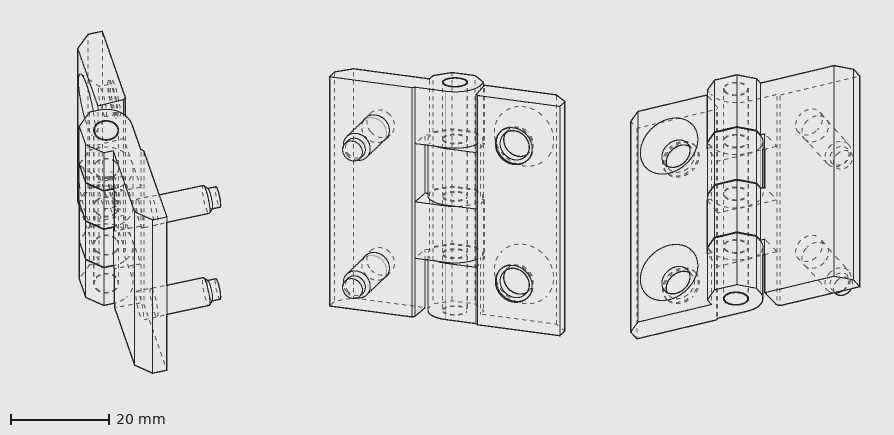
import cadquery as cq


leaf_height = 50.0
leaf_half_span = 25.0
leaf_thickness = 6.0
outer_chamfer = 3.0
axial_play = 0.2
right_leaf_bottom = 0.0
left_leaf_bottom = right_leaf_bottom + axial_play

knuckle_radius = 5.5
knuckle_front = 5.0
knuckle_chamfer = 3.0
knuckle_pitch = leaf_height / 4
knuckle_length = knuckle_pitch - axial_play

inner_edge_front = 6.45
inner_edge_back = 6.65
back_step = leaf_thickness - knuckle_radius
step_start = inner_edge_back + back_step

pin_diameter = 5.0
pin_bore_diameter = 5.1
pin_end_chamfer = 0.1

fixing_x = 15.0
fixing_spacing = 30.0
fixing_heights = [(leaf_height - fixing_spacing) / 2, (leaf_height + fixing_spacing) / 2]
screw_hole_diameter = 6.3
countersink_diameter = 12.9
countersink_angle = 90.0
back_recess_diameter = 8.0
back_recess_depth = 0.5

root_diameter = 6.0
root_taper_end = 7.5
shank_diameter = 5.85
shank_end = 17.0
tip_diameter = 4.3
tip_end = 19.5
tip_taper_end = shank_end + (shank_diameter - tip_diameter) / 2
stud_embedment = 3.0
stud_root = leaf_thickness - stud_embedment


def make_plate():
    """Flat part of the right leaf, standing on Z = 0."""
    return (
        cq.Workplane("XY")
        .moveTo(inner_edge_front, 0)
        .lineTo(leaf_half_span - outer_chamfer, 0)
        .lineTo(leaf_half_span, outer_chamfer)
        .lineTo(leaf_half_span, leaf_thickness)
        .lineTo(step_start, leaf_thickness)
        .lineTo(inner_edge_back, knuckle_radius)
        .close()
        .extrude(leaf_height)
    )


def make_knuckle(bottom):
    """One knuckle of the right leaf, with the web that joins it to the plate."""
    flat_half_width = knuckle_radius - knuckle_chamfer
    chamfer_top = knuckle_chamfer - knuckle_front
    return (
        cq.Workplane("XY", origin=(0, 0, bottom))
        .moveTo(inner_edge_back, knuckle_radius)
        .lineTo(0, knuckle_radius)
        .radiusArc((-knuckle_radius, 0), -knuckle_radius)
        .lineTo(-knuckle_radius, chamfer_top)
        .lineTo(-flat_half_width, -knuckle_front)
        .lineTo(flat_half_width, -knuckle_front)
        .lineTo(knuckle_radius, chamfer_top)
        .lineTo(knuckle_radius, 0)
        .lineTo(inner_edge_front, 0)
        .close()
        .extrude(knuckle_length)
    )


def make_leaf():
    """Right leaf without fixings: its knuckles fill the first and third quarters from the top."""
    leaf = make_plate()
    for quarter in (1, 3):
        top = leaf_height - (quarter - 1) * knuckle_pitch
        leaf = leaf.union(make_knuckle(top - knuckle_length))
    bore = cq.Workplane("XY").circle(pin_bore_diameter / 2).extrude(leaf_height)
    return leaf.cut(bore)


def make_right_leaf():
    """Leaf with a blind socket in its back face for each stud."""
    leaf = make_leaf()
    for height in fixing_heights:
        socket = (
            cq.Workplane("XZ", origin=(fixing_x, stud_root, height))
            .circle(root_diameter / 2)
            .extrude(-stud_embedment)
        )
        leaf = leaf.cut(socket)
    return leaf.translate((0, 0, right_leaf_bottom))


def make_left_leaf():
    """The same leaf turned half round about Y, its holes countersunk in front, recessed behind."""
    leaf = make_leaf().rotate((0, 0, leaf_height / 2), (0, 1, leaf_height / 2), 180)
    leaf = (
        cq.Workplane("XZ")
        .add(leaf)
        .pushPoints([(-fixing_x, height) for height in fixing_heights])
        .cskHole(screw_hole_diameter, countersink_diameter, countersink_angle)
    )
    for height in fixing_heights:
        back_recess = (
            cq.Workplane("XZ", origin=(-fixing_x, leaf_thickness, height))
            .circle(back_recess_diameter / 2)
            .extrude(back_recess_depth)
        )
        leaf = leaf.cut(back_recess)
    return leaf.translate((0, 0, left_leaf_bottom))


def make_pin():
    """Pin with lightly chamfered ends, flush with the outer ends of the end knuckles."""
    pin_length = right_leaf_bottom + leaf_height - left_leaf_bottom
    return (
        cq.Workplane("XY", origin=(0, 0, left_leaf_bottom))
        .circle(pin_diameter / 2)
        .extrude(pin_length)
        .faces("<Z or >Z")
        .chamfer(pin_end_chamfer)
    )


def make_stud(height):
    """Stud turned about Y: embedded root, slight root taper, shank, tip taper and tip."""
    return (
        cq.Workplane("XY")
        .moveTo(0, stud_root)
        .lineTo(root_diameter / 2, stud_root)
        .lineTo(root_diameter / 2, leaf_thickness)
        .lineTo(shank_diameter / 2, root_taper_end)
        .lineTo(shank_diameter / 2, shank_end)
        .lineTo(tip_diameter / 2, tip_taper_end)
        .lineTo(tip_diameter / 2, tip_end)
        .lineTo(0, tip_end)
        .close()
        .revolve(360, (0, 0, 0), (0, 1, 0))
        .translate((fixing_x, 0, right_leaf_bottom + height))
    )


right_leaf = make_right_leaf()
left_leaf = make_left_leaf()
pin = make_pin()
studs = [make_stud(height) for height in fixing_heights]

result = cq.Compound.makeCompound(
    [left_leaf.val(), right_leaf.val(), pin.val(), *[stud.val() for stud in studs]]
)